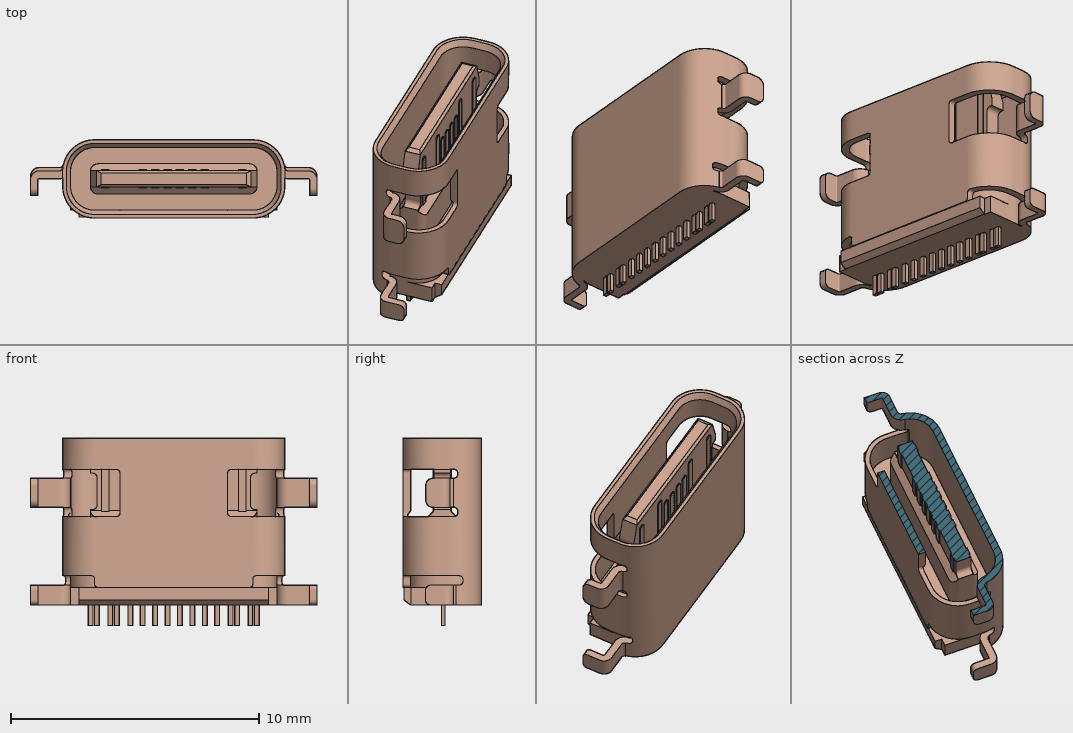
import cadquery as cq


SIDES = (-1, 1)

SHELL_WIDTH = 8.95
SHELL_DEPTH = 3.16
SHELL_HEIGHT = 6.72
SHELL_RADIUS = 1.29
WALL = 0.32
LOWER_WALL = 0.2
WALL_STEP_BOTTOM = 3.65
WALL_STEP_TOP = 3.8
MOUTH_CHAMFER_WIDTH = 0.17
MOUTH_CHAMFER_HEIGHT = 0.25

HALF_WIDTH = SHELL_WIDTH / 2
HALF_DEPTH = SHELL_DEPTH / 2
FLAT_HALF_WIDTH = HALF_WIDTH - SHELL_RADIUS

TAB_SPAN = 11.54
TAB_TIP_Y = -0.67
TAB_LEG_THICKNESS = 0.3
TAB_INNER_BEND = 0.05
TAB_OUTER_BEND = TAB_INNER_BEND + TAB_LEG_THICKNESS
UPPER_TAB_Y = 0.0
UPPER_TAB_BOTTOM = 3.93
UPPER_TAB_TOP = 5.11
UPPER_TAB_CORNER = 0.3
UPPER_TAB_ROOT_RADIUS = 0.13
LOWER_TAB_Y = 0.14
LOWER_TAB_TOP = 0.8
LOWER_TAB_CORNER = 0.2
LOWER_TAB_ROOT_RADIUS = 0.1

WINDOW_BOTTOM = 3.56
WINDOW_TOP = 5.46
WINDOW_INNER_X = 2.165
WINDOW_CORNER = 0.15
WINDOW_RELIEF_Y = 0.62
SLOT_TOP = 1.18
SLOT_RELIEF_Y = 0.83
SLOT_CORNER = 0.13
RELIEF_CORNER = 0.15

FLOOR_Z = 2.1
BODY_HALF_WIDTH = 4.15
BODY_HALF_DEPTH = 1.28
BODY_RADIUS = 1.06
FOOT_HEIGHT = 0.71
FOOT_FRONT_Y = -1.25
FOOT_BAR_HALF_WIDTH = 3.82
FOOT_BAR_FRONT_Y = -1.54
FOOT_BAR_CHAMFER_HEIGHT = 0.2

TONGUE_HALF_WIDTH = 3.36
TONGUE_HALF_THICKNESS = 0.33
TONGUE_ROOT_HALF_THICKNESS = 0.61
TONGUE_ROOT_CORNER = 0.32
TONGUE_ROOT_SLOPE_TOP = 3.8
TONGUE_TOP = 6.6
TONGUE_TIP_CHAMFER = 0.1
TONGUE_TAPER_BOTTOM = 5.65
TONGUE_TAPER_HALF_WIDTH = 3.1
TONGUE_TIP_HALF_WIDTH = 2.92
NOTCH_BOTTOM = 3.84
NOTCH_TOP = 5.31
NOTCH_HALF_WIDTH = 3.08
NOTCH_RADIUS = 0.2
TONGUE_STEP = TONGUE_ROOT_HALF_THICKNESS - TONGUE_HALF_THICKNESS

CONTACT_WIDTH = 0.3
CONTACT_PROUD = 0.04
CONTACT_CORNER = 0.1
CONTACT_BOTTOM = 3.76
LONG_CONTACT_TOP = 6.12
SHORT_CONTACT_TOP = 5.65
LONG_CONTACT_X = (1.25, 2.75)
SHORT_CONTACT_X = (0.25, 0.75)

PIN_WIDTH = 0.2
PIN_THICKNESS = 0.16
PIN_Y = 0.04
PIN_LENGTH = 0.83
PIN_ROOT = 0.5
SINGLE_PIN_X = (0.25, 0.75, 1.25, 1.75)
PAIRED_PIN_X = (2.42, 3.22)
PAIR_SPACING = 0.26

CLEARANCE = 1.0


def block(x0, x1, y0, y1, z0, z1):
    """Box given by its limits; the X limits may come in either order."""
    size_x = abs(x1 - x0)
    box = cq.Workplane("XY").box(size_x, y1 - y0, z1 - z0, centered=False)
    return box.translate((min(x0, x1), y0, z0))


def rounded_prism(half_width, half_depth, radius, z0, z1):
    """Upright prism with rounded vertical corners."""
    prism = block(-half_width, half_width, -half_depth, half_depth, z0, z1)
    return prism.edges("|Z").fillet(radius)


def rounded_section(inset):
    """Shell outline moved inward by the inset."""
    section = cq.Sketch().rect(2 * (HALF_WIDTH - inset), 2 * (HALF_DEPTH - inset))
    return section.vertices().fillet(SHELL_RADIUS - inset)


def tapered_plug(lower_inset, upper_inset, z0, z1):
    """Plug whose outline changes evenly from one inset to the other."""
    lower = rounded_section(lower_inset)
    upper = rounded_section(upper_inset).moved(cq.Location(cq.Vector(0, 0, z1 - z0)))
    return cq.Workplane("XY", origin=(0, 0, z0)).placeSketch(lower, upper).loft()


def cavity_plug(inset, z0, z1):
    """Straight plug that leaves a wall as thick as the inset."""
    return rounded_prism(HALF_WIDTH - inset, HALF_DEPTH - inset, SHELL_RADIUS - inset, z0, z1)


def make_cavity():
    """Mating space above the floor: bevelled at the mouth, with a thinner lower wall."""
    mouth_z = SHELL_HEIGHT - MOUTH_CHAMFER_HEIGHT
    rim = WALL - MOUTH_CHAMFER_WIDTH
    cavity = cavity_plug(WALL, FLOOR_Z, mouth_z)
    cavity = cavity.union(tapered_plug(WALL, rim, mouth_z, SHELL_HEIGHT))
    lower = cavity_plug(LOWER_WALL, FLOOR_Z, WALL_STEP_BOTTOM)
    lower = lower.union(tapered_plug(LOWER_WALL, WALL, WALL_STEP_BOTTOM, WALL_STEP_TOP))
    front_region = block(
        -HALF_WIDTH, HALF_WIDTH, -HALF_DEPTH, WINDOW_RELIEF_Y, FLOOR_Z, WALL_STEP_TOP
    )
    return cavity.union(lower.intersect(front_region))


def relief(side, y_end, z0, z1):
    """Slot across a side wall of the shell, with rounded corners at y_end."""
    x_outer = side * (HALF_WIDTH + CLEARANCE)
    slot = block(side * FLAT_HALF_WIDTH, x_outer, 0, y_end, z0, z1)
    return slot.faces(">Y").edges("|X").fillet(RELIEF_CORNER)


def window(side):
    """Opening around a front corner, with reliefs above and below the upper tab."""
    y_root = UPPER_TAB_Y + WALL + UPPER_TAB_ROOT_RADIUS
    x_outer = side * (HALF_WIDTH + CLEARANCE)
    y_outer = -HALF_DEPTH - CLEARANCE
    opening = block(side * WINDOW_INNER_X, x_outer, y_outer, y_root, WINDOW_BOTTOM, WINDOW_TOP)
    inner_face = "<X" if side > 0 else ">X"
    opening = opening.faces(inner_face).edges("|Y").fillet(WINDOW_CORNER)
    opening = opening.union(relief(side, WINDOW_RELIEF_Y, WINDOW_BOTTOM, UPPER_TAB_BOTTOM))
    return opening.union(relief(side, WINDOW_RELIEF_Y, UPPER_TAB_TOP, WINDOW_TOP))


def lower_slot(side):
    """Opening around a lower front corner, with a relief above the lower tab."""
    y_root = LOWER_TAB_Y + WALL + LOWER_TAB_ROOT_RADIUS
    x_outer = side * (HALF_WIDTH + CLEARANCE)
    y_outer = -HALF_DEPTH - CLEARANCE
    opening = block(side * FLAT_HALF_WIDTH, x_outer, y_outer, y_root, -CLEARANCE, SLOT_TOP)
    inner_face = "<X" if side > 0 else ">X"
    opening = opening.faces(inner_face).edges("|Y and >Z").fillet(SLOT_CORNER)
    return opening.union(relief(side, SLOT_RELIEF_Y, LOWER_TAB_TOP, SLOT_TOP))


def front_panel_trim():
    """Clears the shell's front panel above the foot, leaving rounded panel corners."""
    trim = block(
        -FLAT_HALF_WIDTH, FLAT_HALF_WIDTH, -HALF_DEPTH - CLEARANCE, 0, -CLEARANCE, FOOT_HEIGHT
    )
    for side in SIDES:
        x_edge = side * FLAT_HALF_WIDTH
        x_center = side * (FLAT_HALF_WIDTH - SLOT_CORNER)
        z_center = FOOT_HEIGHT + SLOT_CORNER
        corner = block(x_center, x_edge, -HALF_DEPTH, 0, FOOT_HEIGHT, z_center)
        rounding = cq.Workplane("XZ").center(x_center, z_center).circle(SLOT_CORNER)
        trim = trim.union(corner.cut(rounding.extrude(HALF_DEPTH)))
    return trim


def make_shell():
    shell = rounded_prism(HALF_WIDTH, HALF_DEPTH, SHELL_RADIUS, 0, SHELL_HEIGHT)
    shell = shell.cut(make_cavity())
    for side in SIDES:
        shell = shell.cut(window(side)).cut(lower_slot(side))
    return shell.cut(front_panel_trim())


def make_tab(side, y_bottom, root_radius, z0, z1, tip_corner):
    """Strip that leaves the side wall, runs outward and bends down toward -Y."""
    x_wall = HALF_WIDTH
    x_tip = TAB_SPAN / 2
    x_leg = x_tip - TAB_LEG_THICKNESS
    y_top = y_bottom + WALL
    y_root = y_top + root_radius
    inner_bend = root_radius + WALL
    bend_x = x_wall + root_radius
    tip_bend_x = x_tip - TAB_OUTER_BEND
    tip_bend_y = y_top - TAB_OUTER_BEND
    diagonal = 0.5 ** 0.5
    outer_mid = (bend_x - root_radius * diagonal, y_root - root_radius * diagonal)
    inner_mid = (bend_x - inner_bend * diagonal, y_root - inner_bend * diagonal)
    tip_mid = (tip_bend_x + TAB_OUTER_BEND * diagonal, tip_bend_y + TAB_OUTER_BEND * diagonal)
    inner_tip_mid = (
        x_leg - TAB_INNER_BEND * (1 - diagonal),
        y_bottom - TAB_INNER_BEND * (1 - diagonal),
    )
    profile = (
        cq.Workplane("XY", origin=(0, 0, z0))
        .moveTo(x_wall, y_root)
        .threePointArc(outer_mid, (bend_x, y_top))
        .lineTo(tip_bend_x, y_top)
        .threePointArc(tip_mid, (x_tip, tip_bend_y))
        .lineTo(x_tip, TAB_TIP_Y)
        .lineTo(x_leg, TAB_TIP_Y)
        .lineTo(x_leg, y_bottom - TAB_INNER_BEND)
        .threePointArc(inner_tip_mid, (x_leg - TAB_INNER_BEND, y_bottom))
        .lineTo(bend_x, y_bottom)
        .threePointArc(inner_mid, (x_wall - WALL, y_root))
        .close()
    )
    tab = profile.extrude(z1 - z0)
    tab = tab.faces("<Y").edges("|X").fillet(tip_corner)
    if side < 0:
        tab = tab.mirror("YZ")
    return tab


def make_body():
    """Plastic that fills the lower shell, with a stepped foot along its front."""
    body = rounded_prism(BODY_HALF_WIDTH, BODY_HALF_DEPTH, BODY_RADIUS, 0, FLOOR_Z)
    foot = block(-BODY_HALF_WIDTH, BODY_HALF_WIDTH, FOOT_FRONT_Y, 0, 0, FOOT_HEIGHT)
    bar = (
        cq.Workplane("YZ", origin=(-FOOT_BAR_HALF_WIDTH, 0, 0))
        .moveTo(0, 0)
        .lineTo(-BODY_HALF_DEPTH, 0)
        .lineTo(FOOT_BAR_FRONT_Y, FOOT_BAR_CHAMFER_HEIGHT)
        .lineTo(FOOT_BAR_FRONT_Y, FOOT_HEIGHT)
        .lineTo(0, FOOT_HEIGHT)
        .close()
        .extrude(2 * FOOT_BAR_HALF_WIDTH)
    )
    return body.union(foot).union(bar)


def tongue_section():
    """Tongue cross section: thick root, 45 degree shoulders, thin blade, chamfered tip."""
    thick = TONGUE_ROOT_HALF_THICKNESS
    thin = TONGUE_HALF_THICKNESS
    tip = thin - TONGUE_TIP_CHAMFER
    right_half = [
        (thick, 0),
        (thick, TONGUE_ROOT_SLOPE_TOP - TONGUE_STEP),
        (thin, TONGUE_ROOT_SLOPE_TOP),
        (thin, TONGUE_TOP - TONGUE_TIP_CHAMFER),
        (tip, TONGUE_TOP),
    ]
    left_half = [(-y, z) for y, z in reversed(right_half)]
    profile = cq.Workplane("YZ", origin=(-TONGUE_HALF_WIDTH, 0, 0)).polyline(right_half + left_half)
    return profile.close().extrude(2 * TONGUE_HALF_WIDTH)


def tongue_outline():
    """Tongue outline across its width, tapering to the tip."""
    right_half = [
        (TONGUE_HALF_WIDTH, 0),
        (TONGUE_HALF_WIDTH, TONGUE_TAPER_BOTTOM),
        (TONGUE_TAPER_HALF_WIDTH, TONGUE_TOP - TONGUE_TIP_CHAMFER),
        (TONGUE_TIP_HALF_WIDTH, TONGUE_TOP),
    ]
    left_half = [(-x, z) for x, z in reversed(right_half)]
    profile = cq.Workplane("XZ").polyline(right_half + left_half).close()
    return profile.extrude(HALF_DEPTH, both=True)


def rounded_root_envelope():
    """Prism that rounds the upright corners of the thick tongue root."""
    return rounded_prism(
        TONGUE_HALF_WIDTH, TONGUE_ROOT_HALF_THICKNESS, TONGUE_ROOT_CORNER, 0, TONGUE_TOP
    )


def latch_notch(side):
    """Side notch in the tongue with rounded inner corners."""
    x_outer = side * (TONGUE_HALF_WIDTH + CLEARANCE)
    notch = block(side * NOTCH_HALF_WIDTH, x_outer, -HALF_DEPTH, HALF_DEPTH, NOTCH_BOTTOM, NOTCH_TOP)
    inner_face = "<X" if side > 0 else ">X"
    return notch.faces(inner_face).edges("|Y").fillet(NOTCH_RADIUS)


def make_contact(x, z_top):
    """Strip passing through the tongue, slightly proud of both faces, rounded on top."""
    half = CONTACT_WIDTH / 2
    reach = TONGUE_HALF_THICKNESS + CONTACT_PROUD
    strip = block(x - half, x + half, -reach, reach, CONTACT_BOTTOM, z_top)
    return strip.faces(">Z").edges("|Y").fillet(CONTACT_CORNER)


def make_tongue():
    tongue = tongue_section().intersect(tongue_outline()).intersect(rounded_root_envelope())
    for side in SIDES:
        tongue = tongue.cut(latch_notch(side))
        for x in LONG_CONTACT_X:
            tongue = tongue.union(make_contact(side * x, LONG_CONTACT_TOP))
        for x in SHORT_CONTACT_X:
            tongue = tongue.union(make_contact(side * x, SHORT_CONTACT_TOP))
    return tongue


def make_pin(x):
    half_width = PIN_WIDTH / 2
    half_thickness = PIN_THICKNESS / 2
    return block(
        x - half_width,
        x + half_width,
        PIN_Y - half_thickness,
        PIN_Y + half_thickness,
        -PIN_LENGTH,
        PIN_ROOT,
    )


def pin_positions():
    """X positions of all pins: single ones near the middle, close pairs outside."""
    half_side = list(SINGLE_PIN_X)
    for x in PAIRED_PIN_X:
        half_side += [x - PAIR_SPACING / 2, x + PAIR_SPACING / 2]
    return [side * x for side in SIDES for x in half_side]


part = make_shell().union(make_body()).union(make_tongue())
for side in SIDES:
    upper_tab = make_tab(
        side, UPPER_TAB_Y, UPPER_TAB_ROOT_RADIUS, UPPER_TAB_BOTTOM, UPPER_TAB_TOP, UPPER_TAB_CORNER
    )
    lower_tab = make_tab(
        side, LOWER_TAB_Y, LOWER_TAB_ROOT_RADIUS, 0, LOWER_TAB_TOP, LOWER_TAB_CORNER
    )
    part = part.union(upper_tab).union(lower_tab)
for x in pin_positions():
    part = part.union(make_pin(x))

result = part